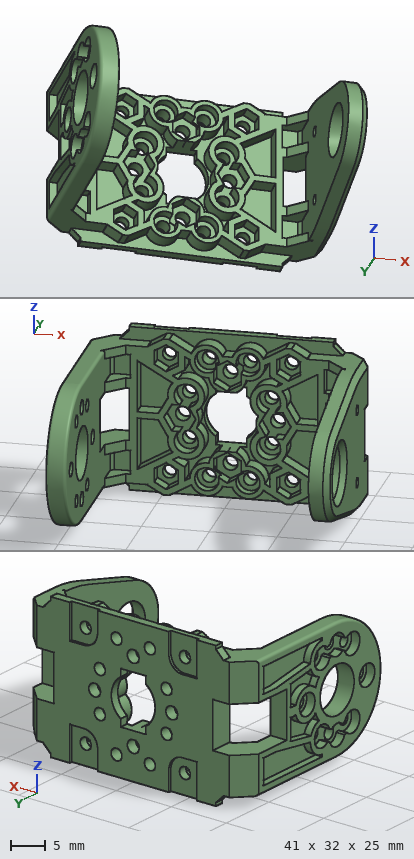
import cadquery as cq
import math

WIDTH = 41.0
ARM_THICKNESS = 3.0
PLATE_DEPTH = 4.0
FLANGE_DEPTH = 1.5
FLANGE_HALF_HEIGHT = 12.5
FLANGE_HALF_WIDTH = 15.05
FLANGE_CHAMFER = 1.4
ARM_RADIUS = 10.55
ARM_REACH = 32.0
CORNER_CHAMFER = 3.0
GUSSET_LEG = 2.55
ARM_OUTER = WIDTH / 2
ARM_INNER = ARM_OUTER - ARM_THICKNESS
PIVOT_Y = ARM_RADIUS - ARM_REACH
GUSSET_FOOT = -PLATE_DEPTH - GUSSET_LEG

RIM_FILLET = 0.5
PIVOT_HOLE_RADIUS = 3.98
ARM_BORE_DEPTH = 1.5
ARM_BORE_RADIUS = 1.8
RING_RADIUS = 7.0
LARGE_SCREW_RADIUS = 1.05
SMALL_SCREW_RADIUS = 0.9
BORE_LINK_INNER = 5.82
BORE_LINK_OUTER = 7.75
ARM_POCKET_DEPTH = 1.25
ARM_BOSS_RADIUS = 2.8
HUB_RADIUS = 5.45
ARM_POCKET_START = 4.15
ARM_POCKET_HALF_HEIGHT = 9.25
ARM_RIB_WIDTH = 1.0
ARM_RIB_BEND = 7.2
ARM_RIB_HEIGHT = 4.95
ARM_RIB_ANGLE = 8.3
ARM_SPINE_HALF_WIDTH = 0.78

TIP_RADIUS = 7.1
TAPER_ANGLE = 15.0
SHOULDER_START = 6.7
RIGHT_RIM_CHAMFER = 0.85
RIGHT_SCREW_Y = -9.95
RIGHT_SCREW_Z = 5.55
RIGHT_SCREW_RADIUS = 0.75

WINDOW_HALF_HEIGHT = 3.98
WINDOW_X = 14.47
LEFT_WINDOW_REACH = 9.6
RIGHT_WINDOW_REACH = 5.05

CORNER_RECESS_START = 14.3
CORNER_RECESS_BEVEL = 0.55
CORNER_RECESS_Z = (5.55, 9.15)
CORNER_RECESS_FLOOR = 2.6

WALL = 1.0
WALL_SLOPE = math.radians(30)
CORNER_HOLE = 9.0
CORNER_NUT = 3.53
RING_NUT = 4.05
NUT_HOLE_RADIUS = 1.05
PLATE_HOLE_RADIUS = 1.0
PLATE_BORE_RADIUS = 1.75
PAIR_BORE_DEPTH = 1.5
NUT_DEPTH = 2.0
PAIR_X = 3.05
PAIR_BOSS_RADIUS = 2.5
RING_BOSS_RADIUS = 2.7
NUT_BOSS_RADIUS = 2.8
BRIDGE_TOP = 9.95
UPPER_RIB_RUN = 1.65
LOWER_RIB_RUN = 2.05
BOSS_TOP = 11.95
FRAME_INNER_X = 13.32
CENTRE_HOLE_RADIUS = 3.98
CENTRE_SLOT = (4.55, 9.1)
BACK_NOTCH_RADIUS = 2.55
BACK_NOTCH_DEPTH = 0.5

SIGNS = (-1, 1)
QUADRANTS = [(sx, sz) for sx in SIGNS for sz in SIGNS]


def box(x_range, y_range, z_range):
    """Box spanning the given coordinate ranges."""
    size = [abs(b - a) for a, b in (x_range, y_range, z_range)]
    middle = [(a + b) / 2 for a, b in (x_range, y_range, z_range)]
    return cq.Workplane("XY").box(*size).translate(tuple(middle))


def plate_plane(depth):
    """Sketch plane parallel to the plate, at the given depth in front of its back face."""
    return cq.Workplane("XZ", origin=(0, -depth, 0))


def web_polygon(points):
    """Polygon in X and Z, raised from the flange to the front of the plate."""
    return plate_plane(FLANGE_DEPTH).polyline(points).close().extrude(PLATE_DEPTH - FLANGE_DEPTH)


def web_cylinder(x, z, radius):
    """Round boss, from the flange to the front of the plate."""
    return plate_plane(FLANGE_DEPTH).center(x, z).circle(radius).extrude(PLATE_DEPTH - FLANGE_DEPTH)


def hexagon(x, z, across_flats, first_angle):
    """Corner points of a regular hexagon; first_angle is the direction of one corner."""
    radius = across_flats / math.sqrt(3)
    angles = [math.radians(first_angle + 60 * i) for i in range(6)]
    return [(x + radius * math.cos(a), z + radius * math.sin(a)) for a in angles]


def ring_point(angle, radius=RING_RADIUS):
    """Point at an angle on a circle about the origin."""
    return radius * math.cos(math.radians(angle)), radius * math.sin(math.radians(angle))


CORNER_POINTS = [(sx * CORNER_HOLE, sz * CORNER_HOLE) for sx, sz in QUADRANTS]
PAIR_POINTS = [(sx * PAIR_X, sz * CORNER_HOLE) for sx, sz in QUADRANTS]
RING_POINTS = [ring_point(angle) for angle in (30, 150, 210, 330)]
RING_NUT_ANGLES = (0, 90, 180, 270)


def flange():
    """Thin back layer of the plate, with its ends chamfered down to the arm height."""
    shoulder_x = FLANGE_HALF_WIDTH + FLANGE_CHAMFER
    shoulder_z = ARM_RADIUS + FLANGE_CHAMFER
    half = [
        (-shoulder_x, ARM_RADIUS),
        (-FLANGE_HALF_WIDTH, shoulder_z),
        (-FLANGE_HALF_WIDTH, FLANGE_HALF_HEIGHT),
        (FLANGE_HALF_WIDTH, FLANGE_HALF_HEIGHT),
        (FLANGE_HALF_WIDTH, shoulder_z),
        (shoulder_x, ARM_RADIUS),
    ]
    other_half = [(-x, -z) for x, z in half]
    return plate_plane(0).polyline(half + other_half).close().extrude(FLANGE_DEPTH)


def corner_web(sx, sz):
    """Hexagonal corner boss, the frame beside it and the two ribs that carry on its walls."""
    outer_flats = CORNER_NUT + 2 * WALL
    corners = hexagon(CORNER_HOLE, CORNER_HOLE, outer_flats, 30)
    outer_shoulder, inner_shoulder, bottom = corners[0], corners[2], corners[4]
    boss = web_polygon(corners)
    frame = web_polygon([
        (ARM_INNER, 0),
        (ARM_INNER, ARM_RADIUS),
        (outer_shoulder[0], ARM_RADIUS),
        bottom,
        (FRAME_INNER_X, bottom[1] + (FRAME_INNER_X - CORNER_HOLE) * math.tan(WALL_SLOPE)),
        (FRAME_INNER_X, 0),
    ])
    body = boss.union(frame)
    wall_drop = WALL / math.cos(WALL_SLOPE)
    rib_starts = (
        (inner_shoulder, wall_drop, UPPER_RIB_RUN),
        (bottom, -wall_drop, LOWER_RIB_RUN),
    )
    for start, drop, run in rib_starts:
        end_x = start[0] - run
        end_z = start[1] - run * math.tan(WALL_SLOPE)
        rib = web_polygon([start, (end_x, end_z), (end_x, end_z - drop), (start[0], start[1] - drop)])
        body = body.union(rib)
    top_trim = box((0, ARM_OUTER), (-ARM_OUTER, 0), (BOSS_TOP, ARM_OUTER))
    body = body.cut(top_trim)
    if sx < 0:
        body = body.mirror("YZ")
    if sz < 0:
        body = body.mirror("XY")
    return body


def plate_web():
    """Raised front layer: bosses, ribs and end frames standing on the flange."""
    body = corner_web(*QUADRANTS[0])
    for sx, sz in QUADRANTS[1:]:
        body = body.union(corner_web(sx, sz))
    for angle in RING_NUT_ANGLES:
        x, z = ring_point(angle)
        body = body.union(web_cylinder(x, z, NUT_BOSS_RADIUS))
    for side in SIGNS:
        near_z = side * RING_RADIUS
        far_z = side * BRIDGE_TOP
        bridge = web_polygon([(-PAIR_X, near_z), (-PAIR_X, far_z), (PAIR_X, far_z), (PAIR_X, near_z)])
        body = body.union(bridge)
    for x, z in PAIR_POINTS:
        body = body.union(web_cylinder(x, z, PAIR_BOSS_RADIUS))
    for x, z in RING_POINTS:
        body = body.union(web_cylinder(x, z, RING_BOSS_RADIUS))
    for side in SIGNS:
        centre_x = side * RING_RADIUS
        corners = hexagon(RING_RADIUS, 0, RING_NUT + 2 * WALL, 0)
        tip, upper, lower = corners[0], corners[1], corners[5]
        outer_half = [(side * x, z) for x, z in (upper, tip, lower)]
        body = body.union(web_polygon([(centre_x, 0)] + outer_half))
        spine = web_polygon([
            (centre_x, WALL / 2),
            (side * ARM_INNER, WALL / 2),
            (side * ARM_INNER, -WALL / 2),
            (centre_x, -WALL / 2),
        ])
        body = body.union(spine)
    return body


def nut_recess(x, z, across_flats, first_angle):
    """Hexagonal recess sunk from the front of the plate."""
    outline = hexagon(x, z, across_flats, first_angle)
    return plate_plane(PLATE_DEPTH).polyline(outline).close().extrude(-NUT_DEPTH)


def plate_cuts():
    """Nut recesses, counterbores, screw holes and the central opening."""
    cuts = plate_plane(0).circle(CENTRE_HOLE_RADIUS).extrude(PLATE_DEPTH)
    cuts = cuts.union(plate_plane(0).rect(*CENTRE_SLOT).extrude(PLATE_DEPTH))
    for x, z in CORNER_POINTS:
        cuts = cuts.union(nut_recess(x, z, CORNER_NUT, 30))
    for points, depth in ((PAIR_POINTS, PAIR_BORE_DEPTH), (RING_POINTS, NUT_DEPTH)):
        bores = plate_plane(PLATE_DEPTH).pushPoints(points).circle(PLATE_BORE_RADIUS).extrude(-depth)
        cuts = cuts.union(bores)
    for x, z in CORNER_POINTS + PAIR_POINTS + RING_POINTS:
        cuts = cuts.union(plate_plane(0).center(x, z).circle(PLATE_HOLE_RADIUS).extrude(PLATE_DEPTH))
    for angle in RING_NUT_ANGLES:
        x, z = ring_point(angle)
        cuts = cuts.union(nut_recess(x, z, RING_NUT, angle))
        cuts = cuts.union(plate_plane(0).center(x, z).circle(NUT_HOLE_RADIUS).extrude(PLATE_DEPTH))
    return cuts


def back_notch(sx, sz):
    """Shallow recess in the back face, open at the plate edge, with one rounded inner corner."""
    radius = BACK_NOTCH_RADIUS
    x_range = (CORNER_HOLE - radius, CORNER_HOLE + radius)
    z_range = (CORNER_HOLE - radius, FLANGE_HALF_HEIGHT)
    notch = box(x_range, (-BACK_NOTCH_DEPTH, 0), z_range)
    notch = notch.edges("|Y").edges("<X").edges("<Z").fillet(radius)
    if sx < 0:
        notch = notch.mirror("YZ")
    if sz < 0:
        notch = notch.mirror("XY")
    return notch


def arm_plane(x):
    """Sketch plane parallel to the arms; extruding goes toward +X."""
    return cq.Workplane("YZ", origin=(x, 0, 0))


def arm_cylinder(x, y, z, radius, depth):
    """Cylinder along X, starting at x and running toward +X."""
    return arm_plane(x).center(y, z).circle(radius).extrude(depth)


def left_arm():
    """Round-ended arm with rounded rims on both faces."""
    slab = (
        arm_plane(-ARM_OUTER)
        .moveTo(0, -ARM_RADIUS)
        .lineTo(PIVOT_Y, -ARM_RADIUS)
        .threePointArc((-ARM_REACH, 0), (PIVOT_Y, ARM_RADIUS))
        .lineTo(0, ARM_RADIUS)
        .close()
        .extrude(ARM_THICKNESS)
    )
    rim = slab.faces("<X or >X").edges("not(>Y)")
    return rim.fillet(RIM_FILLET)


def right_arm():
    """Tapered arm with a pivot hole and two screw holes; outer rim and pivot hole are chamfered."""
    angle = math.radians(TAPER_ANGLE)
    tip_y = PIVOT_Y - TIP_RADIUS * math.sin(angle)
    tip_z = TIP_RADIUS * math.cos(angle)
    straight_y = -SHOULDER_START
    drop_total = ARM_RADIUS - tip_z
    run_total = straight_y - tip_y
    shoulder_radius = (run_total * math.sin(angle) - drop_total * math.cos(angle)) / (1 - math.cos(angle))
    centre_z = ARM_RADIUS - shoulder_radius

    def shoulder(turn):
        return straight_y - shoulder_radius * math.sin(turn), centre_z + shoulder_radius * math.cos(turn)

    middle_y, middle_z = shoulder(angle / 2)
    end_y, end_z = shoulder(angle)
    slab = (
        arm_plane(ARM_INNER)
        .moveTo(0, -ARM_RADIUS)
        .lineTo(straight_y, -ARM_RADIUS)
        .threePointArc((middle_y, -middle_z), (end_y, -end_z))
        .lineTo(tip_y, -tip_z)
        .threePointArc((PIVOT_Y - TIP_RADIUS, 0), (tip_y, tip_z))
        .lineTo(end_y, end_z)
        .threePointArc((middle_y, middle_z), (straight_y, ARM_RADIUS))
        .lineTo(0, ARM_RADIUS)
        .close()
        .extrude(ARM_THICKNESS)
    )
    slab = slab.cut(arm_cylinder(ARM_INNER, PIVOT_Y, 0, PIVOT_HOLE_RADIUS, ARM_THICKNESS))
    body = slab.faces(">X").edges("not(>Y)").chamfer(RIGHT_RIM_CHAMFER)
    for sz in SIGNS:
        z = sz * RIGHT_SCREW_Z
        body = body.cut(arm_cylinder(ARM_INNER, RIGHT_SCREW_Y, z, RIGHT_SCREW_RADIUS, ARM_THICKNESS))
    return body


def corner_fill(side):
    """End of the plate with the sloped gusset inside the corner."""
    points = [
        (side * FRAME_INNER_X, 0),
        (side * (ARM_INNER + RIM_FILLET), 0),
        (side * (ARM_INNER + RIM_FILLET), GUSSET_FOOT - RIM_FILLET),
        (side * (ARM_INNER - GUSSET_LEG), -PLATE_DEPTH),
        (side * FRAME_INNER_X, -PLATE_DEPTH),
    ]
    return cq.Workplane("XY").polyline(points).close().extrude(ARM_RADIUS, both=True)


def corner_cut(side):
    """Wedge that bevels the outer corner between the plate and an arm."""
    points = [
        (side * (ARM_OUTER - CORNER_CHAMFER), 0),
        (side * ARM_OUTER, 0),
        (side * ARM_OUTER, -CORNER_CHAMFER),
    ]
    return cq.Workplane("XY").polyline(points).close().extrude(ARM_OUTER, both=True)


def corner_recesses(side):
    """Two recesses beside the arm, sunk into the inner corner, with a bevel along the floor."""
    low_z, high_z = CORNER_RECESS_Z
    points = [
        (side * CORNER_RECESS_START, GUSSET_FOOT),
        (side * CORNER_RECESS_START, -CORNER_RECESS_FLOOR),
        (side * (ARM_INNER - CORNER_RECESS_BEVEL), -CORNER_RECESS_FLOOR),
        (side * ARM_INNER, -CORNER_RECESS_FLOOR - CORNER_RECESS_BEVEL),
        (side * ARM_INNER, GUSSET_FOOT),
    ]
    upper = cq.Workplane("XY", origin=(0, 0, low_z)).polyline(points).close().extrude(high_z - low_z)
    return upper.union(upper.mirror("XY"))


def window(side, reach):
    """Window through the corner and the arm, clearing the gusset off the arm's inner face."""
    z_range = (-WINDOW_HALF_HEIGHT, WINDOW_HALF_HEIGHT)
    opening = box((side * WINDOW_X, side * ARM_OUTER), (-reach, 0), z_range)
    gusset_gap = box((side * WINDOW_X, side * ARM_INNER), (GUSSET_FOOT - RIM_FILLET, 0), z_range)
    return opening.union(gusset_gap)


def left_arm_holes():
    """Counterbored screw holes on a ring about the pivot; each group of three bores is linked."""
    cuts = arm_cylinder(-ARM_OUTER, PIVOT_Y, 0, PIVOT_HOLE_RADIUS, ARM_THICKNESS)
    large_angles = (0, 90, 180, 270)
    small_angles = (60, 120, 240, 300)
    for angles, radius in ((large_angles, LARGE_SCREW_RADIUS), (small_angles, SMALL_SCREW_RADIUS)):
        for angle in angles:
            dy, z = ring_point(angle)
            cuts = cuts.union(arm_cylinder(-ARM_OUTER, PIVOT_Y + dy, z, ARM_BORE_RADIUS, ARM_BORE_DEPTH))
            cuts = cuts.union(arm_cylinder(-ARM_OUTER, PIVOT_Y + dy, z, radius, ARM_THICKNESS))
    for middle in (90, 270):
        angles = (middle - 30, middle, middle + 30)
        outer = [ring_point(a, BORE_LINK_OUTER) for a in angles]
        inner = [ring_point(a, BORE_LINK_INNER) for a in angles]
        link = (
            cq.Workplane("YZ", origin=(-ARM_OUTER, PIVOT_Y, 0))
            .moveTo(*outer[0])
            .threePointArc(outer[1], outer[2])
            .lineTo(*inner[2])
            .threePointArc(inner[1], inner[0])
            .close()
            .extrude(ARM_BORE_DEPTH)
        )
        cuts = cuts.union(link)
    return cuts


def left_arm_pockets():
    """Pockets in the outer face, split by ribs and kept clear of the screw bosses."""
    start_y = -ARM_POCKET_START
    boss_dy, boss_z = ring_point(60)
    boss_y = PIVOT_Y + boss_dy
    bend_y = -ARM_RIB_BEND
    bend_z = ARM_RIB_HEIGHT
    slope = math.tan(math.radians(ARM_RIB_ANGLE))

    upper_boss_z = bend_z + (bend_y - boss_y) * slope
    upper = arm_plane(-ARM_OUTER).polyline([
        (start_y, ARM_POCKET_HALF_HEIGHT),
        (boss_y, ARM_POCKET_HALF_HEIGHT),
        (boss_y, upper_boss_z),
        (bend_y, bend_z),
        (start_y, bend_z),
    ]).close().extrude(ARM_POCKET_DEPTH)

    inner_start = -LEFT_WINDOW_REACH - ARM_RIB_WIDTH
    inner_z = bend_z + (bend_y - inner_start) * slope - ARM_RIB_WIDTH
    inner_boss_z = upper_boss_z - ARM_RIB_WIDTH
    inner = arm_plane(-ARM_OUTER).polyline([
        (inner_start, ARM_SPINE_HALF_WIDTH),
        (inner_start, inner_z),
        (boss_y, inner_boss_z),
        (boss_y, ARM_SPINE_HALF_WIDTH),
    ]).close().extrude(ARM_POCKET_DEPTH)

    pockets = upper.union(inner)
    keep_outs = (
        (boss_y, boss_z, ARM_BOSS_RADIUS),
        (PIVOT_Y + RING_RADIUS, 0, ARM_BOSS_RADIUS),
        (PIVOT_Y, 0, HUB_RADIUS),
    )
    for y, z, radius in keep_outs:
        pockets = pockets.cut(arm_cylinder(-ARM_OUTER, y, z, radius, ARM_POCKET_DEPTH))
    return pockets.union(pockets.mirror("XY"))


bracket = flange().union(plate_web())
for end in SIGNS:
    bracket = bracket.union(corner_fill(end))
bracket = bracket.union(left_arm()).union(right_arm())

bracket = bracket.cut(plate_cuts())
for quadrant in QUADRANTS:
    bracket = bracket.cut(back_notch(*quadrant))
for end, window_reach in ((-1, LEFT_WINDOW_REACH), (1, RIGHT_WINDOW_REACH)):
    bracket = bracket.cut(corner_cut(end))
    bracket = bracket.cut(corner_recesses(end))
    bracket = bracket.cut(window(end, window_reach))
bracket = bracket.cut(left_arm_holes())
bracket = bracket.cut(left_arm_pockets())

result = bracket